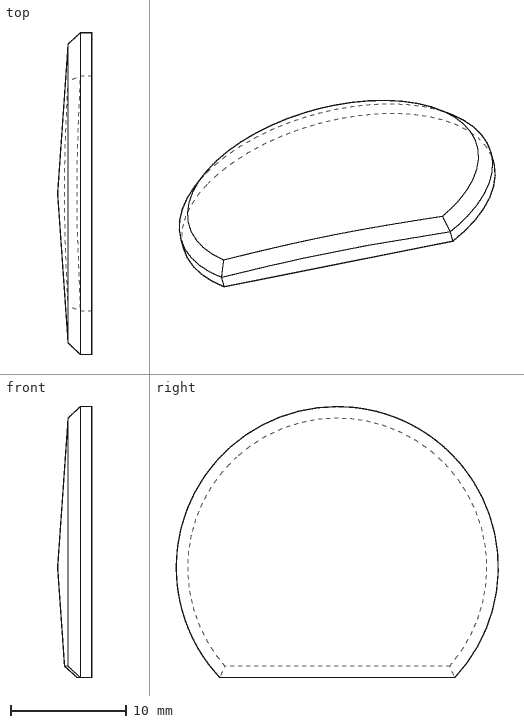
import cadquery as cq

disc_radius = 13.95
flat_depth = 9.55
total_thickness = 3.0
rim_thickness = 2.0
chamfer_size = 1.0


def conical_disc():
    """Disc about the X axis: flat back at x = 0, shallow cone pointing to -X."""
    half_profile = (
        cq.Workplane("XZ")
        .moveTo(0, 0)
        .lineTo(0, disc_radius)
        .lineTo(-rim_thickness, disc_radius)
        .lineTo(-total_thickness, 0)
        .close()
    )
    return half_profile.revolve(360, (0, 0, 0), (1, 0, 0))


def trim_flat(body):
    """Keep only the material above the bottom flat."""
    keep_height = disc_radius + flat_depth
    keep_box = (
        cq.Workplane("XY", origin=(0, 0, -flat_depth))
        .box(2 * total_thickness, 2 * disc_radius, keep_height, centered=(True, True, False))
    )
    return body.intersect(keep_box)


def chamfer_front(body):
    """Chamfer the whole border of the conical front face."""
    front_border = body.faces("%CONE").edges("%CIRCLE or %HYPERBOLA or %BSPLINE")
    return front_border.chamfer(chamfer_size)


result = chamfer_front(trim_flat(conical_disc()))